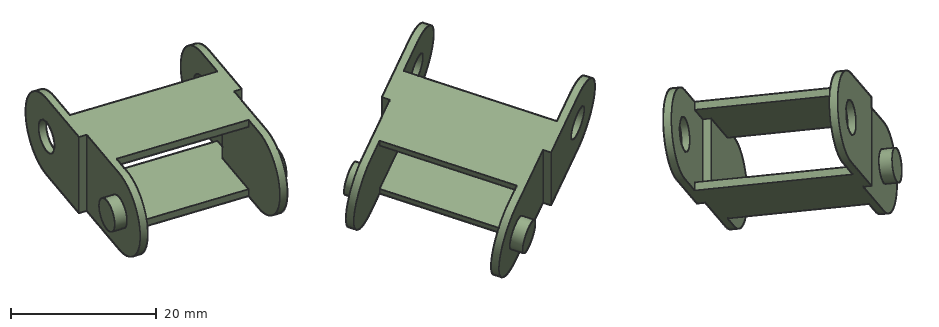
import cadquery as cq

length = 32.98
height = 13.0
pin_span = 26.4
outer_plate_span = 25.0
wall = 1.2
pivot_diameter = 4.85
web_start = -5.15
web_end = 6.83
plate_overlap = 1.2

end_radius = height / 2
pivot_x = length / 2 - end_radius
hole_plate_face = outer_plate_span / 2
pin_plate_face = hole_plate_face - wall


def block(x_start, x_end, y_start, y_end, z_start, z_end):
    """Box between two limits on each axis."""
    size = (x_end - x_start, y_end - y_start, z_end - z_start)
    return cq.Workplane("XY").box(*size, centered=False).translate((x_start, y_start, z_start))


def disc(x, diameter, y_start, y_end):
    """Cylinder along Y between two limits."""
    return (
        cq.Workplane("XZ", origin=(x, y_start, 0))
        .circle(diameter / 2)
        .extrude(y_start - y_end)
    )


def rounded_plate(square_end_x, round_center_x, outer_face):
    """Upright plate with one square end and one full-round end."""
    inner_face = outer_face - wall
    x_start, x_end = sorted((square_end_x, round_center_x))
    straight = block(x_start, x_end, inner_face, outer_face, -end_radius, end_radius)
    return straight.union(disc(round_center_x, height, inner_face, outer_face))


def link_side():
    """Hole plate, stepped-in pin plate and pin on the +Y side."""
    hole_plate = rounded_plate(0, -pivot_x, hole_plate_face)
    hole = disc(-pivot_x, pivot_diameter, pin_plate_face, hole_plate_face)
    pin_plate = rounded_plate(-plate_overlap, pivot_x, pin_plate_face)
    pin = disc(pivot_x, pivot_diameter, pin_plate_face, pin_span / 2)
    return hole_plate.cut(hole).union(pin_plate).union(pin)


def web(bottom_z):
    """Flat web joining the two sides."""
    return block(web_start, web_end, -pin_plate_face, pin_plate_face, bottom_z, bottom_z + wall)


side = link_side()
top_web = web(end_radius - wall)
bottom_web = web(-end_radius)
result = side.union(side.mirror("XZ")).union(top_web).union(bottom_web)